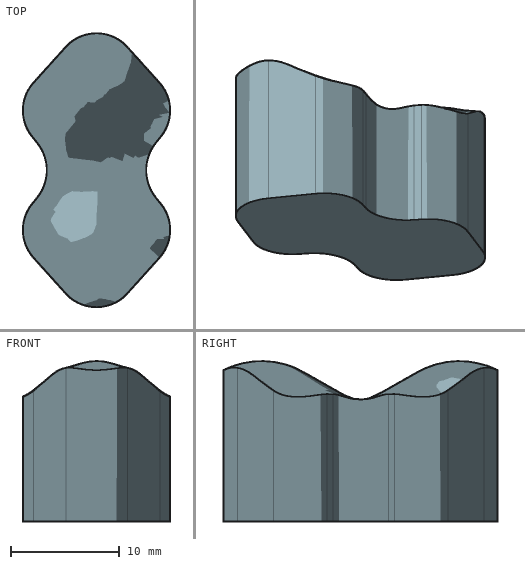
import math

import cadquery as cq

width = 13.55
length = 25.18
height = 14.75
corner_radius = 3.8
shoulder_y = 5.49
waist_half_width = 4.575
waist_radius = 4.04

shoulder_x = width / 2 - corner_radius
tip_y = length / 2 - corner_radius
waist_center_x = waist_half_width + waist_radius

crest_y = 9.08
crest_radius = 7.75
slope_angle = math.radians(29.5)
valley_radius = 2.95

crest_end_y = crest_y - crest_radius * math.sin(slope_angle)
crest_end_z = height - crest_radius * (1 - math.cos(slope_angle))
valley_end_y = valley_radius * math.sin(slope_angle)
valley_end_z = crest_end_z - (crest_end_y - valley_end_y) * math.tan(slope_angle)
valley_center_z = valley_end_z + valley_radius * math.cos(slope_angle)

flank_slope = 0.80
steepest_y = 8.48
level_y = 13.36
ridge_rounding = 3.45

crown_margin = 0.3
crown_columns = 32
crown_rows = 64
crown_tolerance = 0.004


def ridge_height(y):
    """Height of the crown above X = 0."""
    y = abs(y)
    if y < valley_end_y:
        return valley_center_z - math.sqrt(valley_radius**2 - y**2)
    if y < crest_end_y:
        return valley_end_z + (y - valley_end_y) * math.tan(slope_angle)
    return height - crest_radius + math.sqrt(crest_radius**2 - (y - crest_y) ** 2)


def sideways_slope(y):
    """Slope of the flanks: none in the valley, steepest near the crest, fading at the tips."""
    y = abs(y)
    if y < steepest_y:
        phase = y / steepest_y
    else:
        phase = (level_y - y) / (level_y - steepest_y)
    return flank_slope * math.sin(phase * math.pi / 2) ** 2


def crown_point(x, y):
    fall = math.hypot(x, ridge_rounding) - ridge_rounding
    return cq.Vector(x, y, ridge_height(y) - sideways_slope(y) * fall)


def spread(half_span, count):
    """Evenly spaced values from -half_span to half_span."""
    return [half_span * (2 * i / count - 1) for i in range(count + 1)]


def point_on_circle(center, radius, angle):
    return (center[0] + radius * math.cos(angle), center[1] + radius * math.sin(angle))


def mirrored(point, x_sign, y_sign):
    return (x_sign * point[0], y_sign * point[1])


def make_body():
    """Prism over the plan outline, slightly taller than the crests."""
    shoulder = (shoulder_x, shoulder_y)
    waist = (waist_center_x, 0)

    wall_normal = math.atan2(shoulder_x, tip_y - shoulder_y)
    tip_end = point_on_circle((0, tip_y), corner_radius, wall_normal)
    shoulder_start = point_on_circle(shoulder, corner_radius, wall_normal)

    to_waist = math.atan2(-shoulder_y, waist_center_x - shoulder_x)
    center_distance = math.hypot(waist_center_x - shoulder_x, shoulder_y)
    inner_normal = to_waist + math.acos((corner_radius + waist_radius) / center_distance)
    shoulder_end = point_on_circle(shoulder, corner_radius, inner_normal)
    waist_end = point_on_circle(waist, waist_radius, inner_normal + math.pi)

    shoulder_middle = (width / 2, shoulder_y)
    tip_middle = (0, length / 2)
    waist_middle = (waist_half_width, 0)

    outline = cq.Workplane("XY").moveTo(*mirrored(waist_end, 1, -1))
    for side in (1, -1):
        outline = (
            outline.threePointArc(mirrored(waist_middle, side, side), mirrored(waist_end, side, side))
            .lineTo(*mirrored(shoulder_end, side, side))
            .threePointArc(
                mirrored(shoulder_middle, side, side), mirrored(shoulder_start, side, side)
            )
            .lineTo(*mirrored(tip_end, side, side))
            .threePointArc(mirrored(tip_middle, side, side), mirrored(tip_end, -side, side))
            .lineTo(*mirrored(shoulder_start, -side, side))
            .threePointArc(
                mirrored(shoulder_middle, -side, side), mirrored(shoulder_end, -side, side)
            )
            .lineTo(*mirrored(waist_end, -side, side))
        )
    return outline.close().extrude(height + crown_margin)


def make_space_above_crown():
    """Solid that fills everything over the crown surface."""
    columns = spread(width / 2 + crown_margin, crown_columns)
    rows = spread(length / 2 + crown_margin, crown_rows)
    points = [[crown_point(x, y) for y in rows] for x in columns]
    crown = cq.Face.makeSplineApprox(points, tol=crown_tolerance)
    return cq.Solid.extrudeLinear(crown, cq.Vector(0, 0, height))


result = make_body().cut(cq.Workplane(make_space_above_crown()))